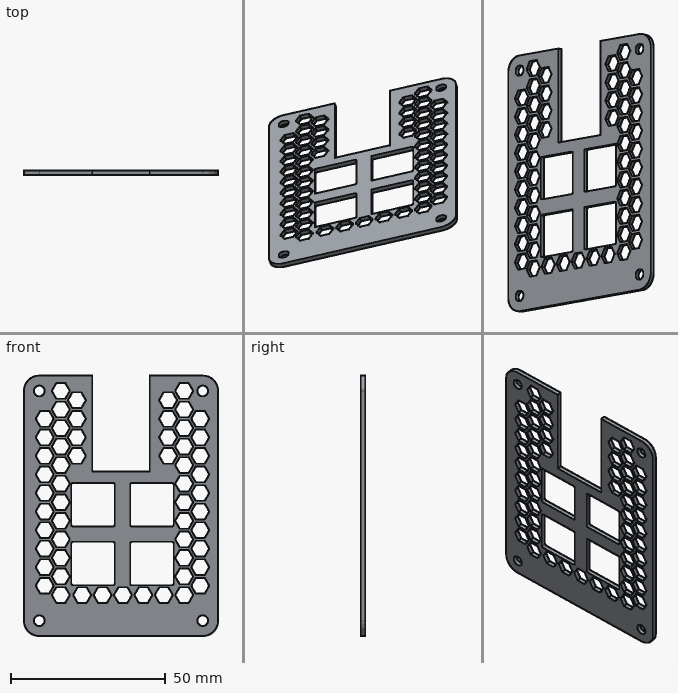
import cadquery as cq
import math

plate_width = 62.86
plate_height = 84.29
plate_thickness = 1.5
corner_radius = 5.0

screw_diameter = 3.4
screw_spacing_x = plate_width - 2 * corner_radius
screw_spacing_z = plate_height - 2 * corner_radius

slot_width = 18.5
slot_depth = 31.0

pattern_x = 0.48

window_size = 14.0
window_corner_radius = 0.5
window_pitch = 19.05
window_centre_z = -9.15

hex_flats = 5.0
hex_wall = 1.0
hex_half_angle = math.pi / 6
hex_corners = hex_flats / math.cos(hex_half_angle)
hex_pitch = hex_flats + hex_wall
column_pitch = hex_pitch * math.cos(hex_half_angle)
middle_column_offset = 19.95
top_vent_z = 37.15

middle_column_count = 12
vent_columns = [
    (-1, 0.5, 4),
    (0, 0, middle_column_count),
    (1, 1.5, 10),
]

row_count = 5
row_pitch = 6.6
row_centre_x = 0.63
row_z = top_vent_z - (middle_column_count - 1) * hex_pitch


def back_plane():
    """Sketch plane on the back (+Y) face, facing -Y, local axes along X and Z."""
    return cq.Workplane("XZ", origin=(0, plate_thickness / 2, 0))


def through(sketch):
    """Extrude a sketch from the back face to the front face."""
    return sketch.extrude(plate_thickness)


def make_plate():
    plate = through(back_plane().rect(plate_width, plate_height))
    return plate.edges("|Y").fillet(corner_radius)


def screw_holes():
    centres = back_plane().rect(screw_spacing_x, screw_spacing_z, forConstruction=True).vertices()
    return through(centres.circle(screw_diameter / 2))


def top_slot():
    return through(back_plane().center(0, plate_height / 2).rect(slot_width, 2 * slot_depth))


def windows():
    centres = back_plane().center(pattern_x, window_centre_z)
    centres = centres.rect(window_pitch, window_pitch, forConstruction=True).vertices()
    return through(centres.rect(window_size, window_size)).edges("|Y").fillet(window_corner_radius)


def vent_centres():
    centres = []
    for side in (-1, 1):
        for column, skipped, count in vent_columns:
            x = pattern_x + side * (middle_column_offset + column * column_pitch)
            for index in range(count):
                centres.append((x, top_vent_z - (skipped + index) * hex_pitch))
    for index in range(row_count):
        x = row_centre_x + (index - (row_count - 1) / 2) * row_pitch
        centres.append((x, row_z))
    return centres


def vents():
    return through(back_plane().pushPoints(vent_centres()).polygon(6, hex_corners))


result = make_plate()
for opening in (screw_holes(), top_slot(), windows(), vents()):
    result = result.cut(opening)